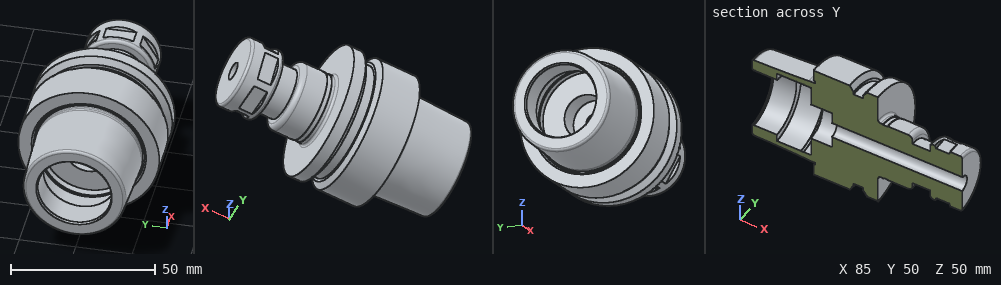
import cadquery as cq
import math

length = 85.0

shank_tip_radius = 18.1
shank_end_radius = 19.0
shank_length = 22.9
shank_tip_fillet = 0.9
collar_radius = 19.1
collar_start = 23.7
collar_end = 24.6

flange_start = 24.8
flange_end = 51.0
flange_radius = 25.0
grip_start = 39.5
grip_floor_start = 41.05
grip_floor_end = 44.8
grip_end = 46.4
grip_wall_radius = 22.6
grip_floor_radius = 21.5

relief_outer_radius = 20.3
relief_floor_radius = 19.6
relief_depth = relief_outer_radius - relief_floor_radius

body_end = 64.9
body_radius = 13.0
body_root_fillet = 0.9
body_end_fillet = 1.95
body_groove_start = 53.0
body_groove_end = 54.8
body_groove_diameter = 25.6
body_groove_radius = body_groove_diameter / 2
neck_radius = 9.5

nut_start = 72.0
nut_diameter = 26.3
nut_radius = nut_diameter / 2
nut_back_fillet = 1.2
nut_front_fillet = 0.9
flat_count = 6
flat_distance = 12.0
flat_start = 74.5
flat_end = 79.65
flat_wall_lean = 0.4

mouth_radius = 13.4
mouth_chamfer_length = 0.85
bore_radius = 13.0
clamp_groove_start = 10.1
clamp_groove_radius = 16.0
clamp_relief_start = 19.8
clamp_relief_end = 20.8
clamp_relief_radius = 16.1
clamp_groove_end = 23.8
socket_radius = 8.0
socket_depth = 8.5
through_radius = 3.2


def revolve_about_x(profile):
    return profile.close().revolve(360, (0, 0, 0), (1, 0, 0))


def fillet_middle(radius):
    """Distance from the midpoint of a corner fillet to either side of the corner."""
    return radius * (1 - math.sqrt(0.5))


def make_body():
    tip_mid = fillet_middle(shank_tip_fillet)
    root_mid = fillet_middle(body_root_fillet)
    end_mid = fillet_middle(body_end_fillet)
    back_mid = fillet_middle(nut_back_fillet)
    front_mid = fillet_middle(nut_front_fillet)
    profile = (
        cq.Workplane("XY")
        .moveTo(0, 0)
        .lineTo(0, shank_tip_radius - shank_tip_fillet)
        .threePointArc((tip_mid, shank_tip_radius - tip_mid), (shank_tip_fillet, shank_tip_radius))
        .lineTo(shank_length, shank_end_radius)
        .lineTo(collar_start, collar_radius)
        .lineTo(collar_end, collar_radius)
        .lineTo(flange_start + relief_depth, shank_end_radius)
        .lineTo(flange_start + relief_depth, relief_floor_radius)
        .lineTo(flange_start, relief_outer_radius)
        .lineTo(flange_start, flange_radius)
        .lineTo(grip_start, flange_radius)
        .lineTo(grip_floor_start, grip_wall_radius)
        .lineTo(grip_floor_start, grip_floor_radius)
        .lineTo(grip_floor_end, grip_floor_radius)
        .lineTo(grip_floor_end, grip_wall_radius)
        .lineTo(grip_end, flange_radius)
        .lineTo(flange_end, flange_radius)
        .lineTo(flange_end, body_radius + body_root_fillet)
        .threePointArc(
            (flange_end + root_mid, body_radius + root_mid),
            (flange_end + body_root_fillet, body_radius),
        )
        .lineTo(body_groove_start, body_radius)
        .lineTo(body_groove_start, body_groove_radius)
        .lineTo(body_groove_end, body_groove_radius)
        .lineTo(body_groove_end, body_radius)
        .lineTo(body_end - body_end_fillet, body_radius)
        .threePointArc(
            (body_end - end_mid, body_radius - end_mid),
            (body_end, body_radius - body_end_fillet),
        )
        .lineTo(body_end, neck_radius)
        .lineTo(nut_start, neck_radius)
        .lineTo(nut_start, nut_radius - nut_back_fillet)
        .threePointArc(
            (nut_start + back_mid, nut_radius - back_mid),
            (nut_start + nut_back_fillet, nut_radius),
        )
        .lineTo(length - nut_front_fillet, nut_radius)
        .threePointArc(
            (length - front_mid, nut_radius - front_mid),
            (length, nut_radius - nut_front_fillet),
        )
        .lineTo(length, 0)
    )
    return revolve_about_x(profile)


def make_bore():
    profile = (
        cq.Workplane("XY")
        .moveTo(0, 0)
        .lineTo(0, mouth_radius)
        .lineTo(mouth_chamfer_length, bore_radius)
        .lineTo(clamp_groove_start, bore_radius)
        .lineTo(clamp_groove_start, clamp_groove_radius)
        .lineTo(clamp_relief_start, clamp_groove_radius)
        .lineTo(clamp_relief_start, clamp_relief_radius)
        .lineTo(clamp_relief_end, clamp_relief_radius)
        .lineTo(clamp_relief_end, clamp_groove_radius)
        .lineTo(clamp_groove_end, clamp_groove_radius)
        .lineTo(clamp_groove_end, socket_radius)
        .lineTo(clamp_groove_end + socket_depth, socket_radius)
        .lineTo(clamp_groove_end + socket_depth, through_radius)
        .lineTo(length, through_radius)
        .lineTo(length, 0)
    )
    return revolve_about_x(profile)


def make_flat_cutter():
    """Pocket above one wrench flat, with end walls leaning outward."""
    depth = nut_radius - flat_distance
    top = nut_radius + depth
    top_lean = flat_wall_lean * (top - flat_distance) / depth
    return (
        cq.Workplane("XZ")
        .moveTo(flat_start, flat_distance)
        .lineTo(flat_end, flat_distance)
        .lineTo(flat_end + top_lean, top)
        .lineTo(flat_start - top_lean, top)
        .close()
        .extrude(nut_radius, both=True)
    )


result = make_body().cut(make_bore())
for index in range(flat_count):
    turn = index * 360.0 / flat_count
    result = result.cut(make_flat_cutter().rotate((0, 0, 0), (1, 0, 0), turn))